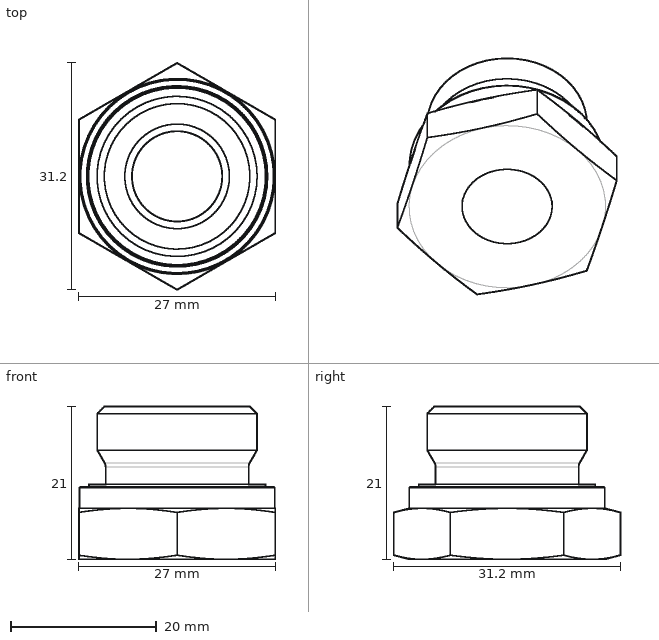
import cadquery as cq
import math

HEX_ACROSS_FLATS = 27.0
HEX_HEIGHT = 7.0
HEX_CHAMFER_ANGLE = 15.0

COLLAR_DIAMETER = 26.9
COLLAR_TOP = 10.0
COLLAR_CHAMFER = 0.2

NECK_DIAMETER = 19.7
NECK_FILLET = 1.2
HEAD_DIAMETER = 22.0
HEAD_BOTTOM = 15.0
HEAD_UNDERCUT_ANGLE = 30.0
HEAD_CHAMFER = 1.0
TOTAL_HEIGHT = 21.0

BORE_DIAMETER = 12.38
BORE_CHAMFER = 1.0

GROOVE_DIAMETER = 24.5
GROOVE_DEPTH = 1.5
GROOVE_CHAMFER = 0.2
RING_OUTER_DIAMETER = 24.3
RING_CONE_DIAMETER = 22.0
RING_CONE_SLOPE = 30.0
RING_PROJECTION = 0.3


def make_hexagon():
    """Hexagonal base whose corners are cut by a shallow cone at both ends."""
    corner_radius = HEX_ACROSS_FLATS / math.sqrt(3)
    face_radius = HEX_ACROSS_FLATS / 2
    corner_drop = (corner_radius - face_radius) * math.tan(math.radians(HEX_CHAMFER_ANGLE))
    prism = (
        cq.Workplane("XY")
        .polygon(6, 2 * corner_radius)
        .extrude(HEX_HEIGHT)
        .rotate((0, 0, 0), (0, 0, 1), 90)
    )
    envelope = (
        cq.Workplane("XZ")
        .polyline([
            (0, 0),
            (face_radius, 0),
            (corner_radius, corner_drop),
            (corner_radius, HEX_HEIGHT - corner_drop),
            (face_radius, HEX_HEIGHT),
            (0, HEX_HEIGHT),
        ])
        .close()
        .revolve(360, (0, 0, 0), (0, 1, 0))
    )
    return prism.intersect(envelope)


def make_collar():
    """Round collar with a groove for the sealing ring in its top face."""
    outer_radius = COLLAR_DIAMETER / 2
    groove_radius = GROOVE_DIAMETER / 2
    groove_floor = COLLAR_TOP - GROOVE_DEPTH
    return (
        cq.Workplane("XZ")
        .polyline([
            (0, HEX_HEIGHT),
            (outer_radius, HEX_HEIGHT),
            (outer_radius, COLLAR_TOP - COLLAR_CHAMFER),
            (outer_radius - COLLAR_CHAMFER, COLLAR_TOP),
            (groove_radius + GROOVE_CHAMFER, COLLAR_TOP),
            (groove_radius, COLLAR_TOP - GROOVE_CHAMFER),
            (groove_radius, groove_floor),
            (0, groove_floor),
        ])
        .close()
        .revolve(360, (0, 0, 0), (0, 1, 0))
    )


def make_neck_and_head():
    """Neck that widens through a rounded cone into the chamfered head."""
    neck_radius = NECK_DIAMETER / 2
    head_radius = HEAD_DIAMETER / 2
    cone_angle = math.radians(HEAD_UNDERCUT_ANGLE)
    cone_bottom = HEAD_BOTTOM - (head_radius - neck_radius) / math.tan(cone_angle)
    tangent_length = NECK_FILLET * math.tan(cone_angle / 2)

    def arc_point(angle):
        return (
            neck_radius + NECK_FILLET * (1 - math.cos(angle)),
            cone_bottom - tangent_length + NECK_FILLET * math.sin(angle),
        )

    profile = (
        cq.Workplane("XZ")
        .moveTo(0, HEX_HEIGHT)
        .lineTo(neck_radius, HEX_HEIGHT)
        .lineTo(*arc_point(0))
        .threePointArc(arc_point(cone_angle / 2), arc_point(cone_angle))
        .lineTo(head_radius, HEAD_BOTTOM)
        .lineTo(head_radius, TOTAL_HEIGHT - HEAD_CHAMFER)
        .lineTo(head_radius - HEAD_CHAMFER, TOTAL_HEIGHT)
        .lineTo(0, TOTAL_HEIGHT)
        .close()
    )
    return profile.revolve(360, (0, 0, 0), (0, 1, 0))


def make_bore():
    """Through bore with a chamfered mouth at the top."""
    mouth_radius = BORE_DIAMETER / 2 + BORE_CHAMFER
    return (
        cq.Workplane("XZ")
        .polyline([
            (0, 0),
            (BORE_DIAMETER / 2, 0),
            (BORE_DIAMETER / 2, TOTAL_HEIGHT - BORE_CHAMFER),
            (mouth_radius, TOTAL_HEIGHT),
            (0, TOTAL_HEIGHT),
        ])
        .close()
        .revolve(360, (0, 0, 0), (0, 1, 0))
    )


def make_plug():
    return make_hexagon().union(make_collar()).union(make_neck_and_head()).cut(make_bore())


def make_sealing_ring():
    """Ring around the neck, standing slightly proud of the collar, its top sloping down to the neck."""
    inner_radius = NECK_DIAMETER / 2
    outer_radius = RING_OUTER_DIAMETER / 2
    cone_radius = RING_CONE_DIAMETER / 2
    bottom = COLLAR_TOP - GROOVE_DEPTH
    top = COLLAR_TOP + RING_PROJECTION
    cone_depth = (cone_radius - inner_radius) * math.tan(math.radians(RING_CONE_SLOPE))
    return (
        cq.Workplane("XZ")
        .polyline([
            (inner_radius, bottom),
            (outer_radius, bottom),
            (outer_radius, top),
            (cone_radius, top),
            (inner_radius, top - cone_depth),
        ])
        .close()
        .revolve(360, (0, 0, 0), (0, 1, 0))
    )


plug = make_plug()
sealing_ring = make_sealing_ring()

result = cq.Compound.makeCompound([plug.val(), sealing_ring.val()])